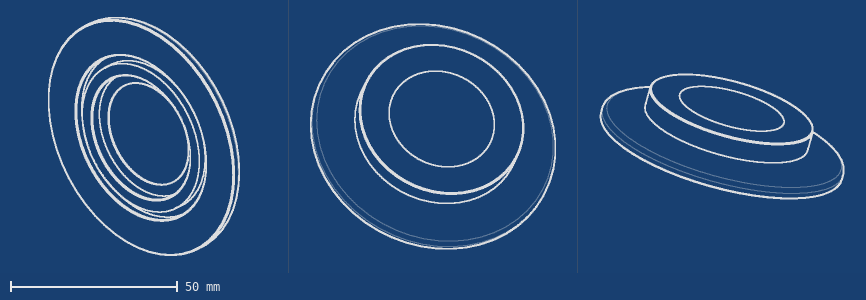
import cadquery as cq
import math

FLANGE_RADIUS = 37.5
TOTAL_DEPTH = 12.7
RIM_ROUND_START = 1.95
RIM_ROUND_RADIUS = 1.5
CLAMP_ANGLE = math.radians(15)
HUB_RADIUS = 25.3
EDGE_CHAMFER = 0.3

GROOVE_OUTER_RADIUS = 26.2
GROOVE_INNER_RADIUS = 23.6
GROOVE_DEPTH = 2.6
RECESS_RADIUS = 19.7
RECESS_DEPTH = 3.4

WINDOW_RADIUS = 16.2
WINDOW_SETBACK = 0.4
WINDOW_FRONT = RECESS_DEPTH + WINDOW_SETBACK


def cylinder(radius, start, end):
    """Solid cylinder along +Y between two depths."""
    plane = cq.Plane(origin=(0, start, 0), xDir=(1, 0, 0), normal=(0, 1, 0))
    return cq.Workplane(plane).circle(radius).extrude(end - start)


def chamfered_opening(radius, depth):
    """Cutter for a round recess with a chamfered mouth at the sealing face."""
    profile = (
        cq.Workplane("XY")
        .lineTo(radius + EDGE_CHAMFER, 0)
        .lineTo(radius, EDGE_CHAMFER)
        .lineTo(radius, depth)
        .lineTo(0, depth)
        .close()
    )
    return profile.revolve(360, (0, 0, 0), (0, 1, 0))


def make_blank():
    """Flange with a rounded rim, conical clamping face and cylindrical hub."""
    round_center_radius = FLANGE_RADIUS - RIM_ROUND_RADIUS

    def rim_point(angle):
        return (
            round_center_radius + RIM_ROUND_RADIUS * math.cos(angle),
            RIM_ROUND_START + RIM_ROUND_RADIUS * math.sin(angle),
        )

    end_angle = math.pi / 2 - CLAMP_ANGLE
    cone_radius, cone_start = rim_point(end_angle)
    cone_end = cone_start + (cone_radius - HUB_RADIUS) * math.tan(CLAMP_ANGLE)
    profile = (
        cq.Workplane("XY")
        .lineTo(FLANGE_RADIUS - EDGE_CHAMFER, 0)
        .lineTo(FLANGE_RADIUS, EDGE_CHAMFER)
        .lineTo(FLANGE_RADIUS, RIM_ROUND_START)
        .threePointArc(rim_point(end_angle / 2), (cone_radius, cone_start))
        .lineTo(HUB_RADIUS, cone_end)
        .lineTo(HUB_RADIUS, TOTAL_DEPTH - EDGE_CHAMFER)
        .lineTo(HUB_RADIUS - EDGE_CHAMFER, TOTAL_DEPTH)
        .lineTo(0, TOTAL_DEPTH)
        .close()
    )
    return profile.revolve(360, (0, 0, 0), (0, 1, 0))


def make_flange():
    """Flange with its ring groove, recess and through bore for the window."""
    island = cylinder(GROOVE_INNER_RADIUS, 0, GROOVE_DEPTH)
    groove = chamfered_opening(GROOVE_OUTER_RADIUS, GROOVE_DEPTH).cut(island)
    recess = chamfered_opening(RECESS_RADIUS, RECESS_DEPTH)
    bore = cylinder(WINDOW_RADIUS, 0, TOTAL_DEPTH)
    return make_blank().cut(groove).cut(recess).cut(bore)


def make_window():
    """Plain disc filling the bore, flush with the back of the hub."""
    return cylinder(WINDOW_RADIUS, WINDOW_FRONT, TOTAL_DEPTH)


flange = make_flange()
window = make_window()
result = cq.Compound.makeCompound([flange.solids().val(), window.val()])